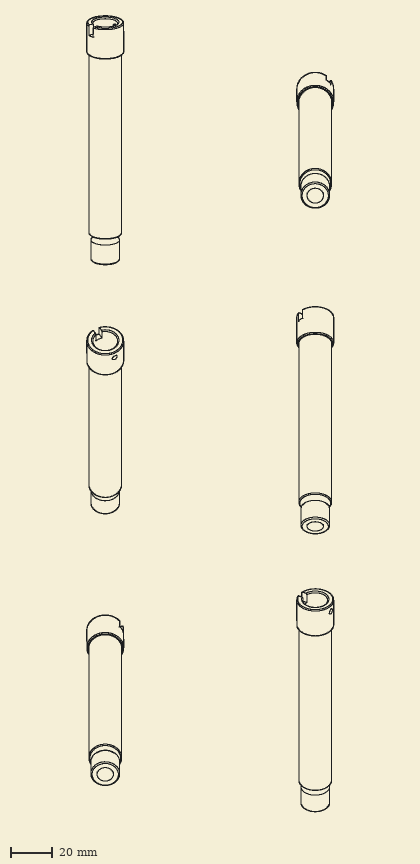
import cadquery as cq
import math

total_length = 124.5
head_length = 16.0
head_diameter = 18.0
body_diameter = 16.0
spigot_diameter = 14.1
spigot_length = 10.6
edge_chamfer = 0.5
spigot_chamfer = 0.6

groove_diameter = 11.8
groove_fillet = 0.7
groove_taper_height = 0.7
body_start = 13.8

through_diameter = 8.0
step_diameter = 10.0
step_depth = 2.0
socket_diameter = 12.1
socket_depth = head_length
socket_chamfer = 0.6

slot_width = 3.5
slot_depth = 5.4
pin_hole_diameter = 2.7
pin_hole_depth = 4.0


def make_outer_body():
    """Revolve the outer outline, including the relief groove and edge chamfers."""
    head_radius = head_diameter / 2
    body_radius = body_diameter / 2
    spigot_radius = spigot_diameter / 2
    groove_radius = groove_diameter / 2
    head_start = total_length - head_length
    taper_end = spigot_length + groove_taper_height
    blend_height = (spigot_radius - groove_taper_height - groove_radius) * (1 + math.sqrt(2))
    outline = (
        cq.Workplane("XZ")
        .moveTo(0, 0)
        .lineTo(spigot_radius - spigot_chamfer, 0)
        .lineTo(spigot_radius, spigot_chamfer)
        .lineTo(spigot_radius, spigot_length)
        .lineTo(spigot_radius - groove_taper_height, taper_end)
        .tangentArcPoint((groove_radius, taper_end + blend_height), relative=False)
        .lineTo(groove_radius, body_start - groove_fillet)
        .tangentArcPoint((groove_radius + groove_fillet, body_start), relative=False)
        .lineTo(body_radius - edge_chamfer, body_start)
        .lineTo(body_radius, body_start + edge_chamfer)
        .lineTo(body_radius, head_start)
        .lineTo(head_radius - edge_chamfer, head_start)
        .lineTo(head_radius, head_start + edge_chamfer)
        .lineTo(head_radius, total_length - edge_chamfer)
        .lineTo(head_radius - edge_chamfer, total_length)
        .lineTo(0, total_length)
        .close()
    )
    return outline.revolve(360, (0, 0, 0), (0, 1, 0))


def cut_bore(part):
    """Cut the chamfered socket, the step below it and the through bore."""
    top = cq.Workplane("XY").workplane(offset=total_length)
    through = top.circle(through_diameter / 2).extrude(-total_length)
    step = top.circle(step_diameter / 2).extrude(-(socket_depth + step_depth))
    socket = top.circle(socket_diameter / 2).extrude(-socket_depth)
    entry_radius = socket_diameter / 2 + socket_chamfer
    entry = top.circle(entry_radius).extrude(-socket_chamfer, taper=45)
    return part.cut(through).cut(step).cut(socket).cut(entry)


def cut_slot(part):
    """Cut the flat-bottomed slot through the -Y wall of the head."""
    slot = (
        cq.Workplane("XY")
        .workplane(offset=total_length - slot_depth)
        .center(0, -head_diameter / 4)
        .rect(slot_width, head_diameter / 2)
        .extrude(slot_depth)
    )
    return part.cut(slot)


def cut_pin_hole(part):
    """Drill across the head along Y from its axis, through the +Y wall only."""
    hole = (
        cq.Workplane("XZ")
        .center(0, total_length - pin_hole_depth)
        .circle(pin_hole_diameter / 2)
        .extrude(-head_diameter / 2)
    )
    return part.cut(hole)


result = cut_pin_hole(cut_slot(cut_bore(make_outer_body())))